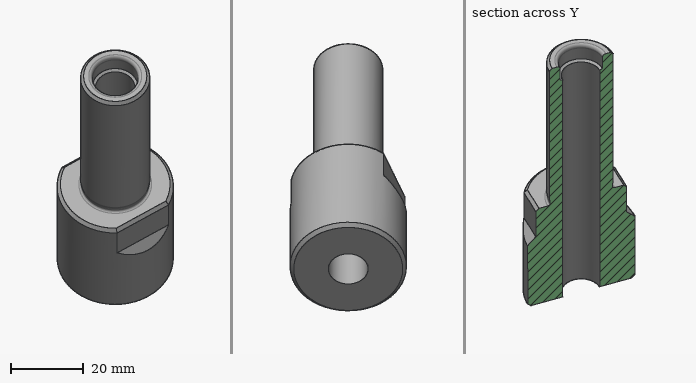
import cadquery as cq
import math

total_length = 85.0
head_length = 35.0

head_diameter = 32.0
flat_spacing = 27.0
flat_bottom_z = 24.9
top_chamfer = 0.9
bottom_chamfer = 1.0

shank_diameter = 19.0
shank_chamfer = 0.85

neck_diameter = 18.6
relief_length = 2.0
relief_taper_length = 0.8
relief_fillet = 0.7

bore_diameter = 10.9
counterbore_diameter = 12.5
counterbore_depth = 5.0
mouth_fillet = 1.0
step_cone_half_angle = math.radians(60)


def make_head():
    """Round head with two wrench flats that run out on 45 degree slopes."""
    head_radius = head_diameter / 2
    flat_x = flat_spacing / 2
    head = cq.Workplane("XY").circle(head_radius).extrude(head_length)
    for side in (-1, 1):
        flat_cut = (
            cq.Workplane("XZ")
            .moveTo(side * flat_x, head_length)
            .lineTo(side * flat_x, flat_bottom_z)
            .lineTo(side * head_diameter, flat_bottom_z - (head_diameter - flat_x))
            .lineTo(side * head_diameter, head_length)
            .close()
            .extrude(head_radius, both=True)
        )
        head = head.cut(flat_cut)
    return head.faces(">Z").chamfer(top_chamfer).faces("<Z").chamfer(bottom_chamfer)


def make_shank():
    """Shank with a chamfered tip and a tapered, filleted relief at its root."""
    shank_radius = shank_diameter / 2
    neck_radius = neck_diameter / 2
    relief_top_z = head_length + relief_length
    fillet_middle = relief_fillet * (1 - math.sqrt(0.5))
    return (
        cq.Workplane("XZ")
        .moveTo(0, 0)
        .lineTo(neck_radius + relief_fillet, 0)
        .lineTo(neck_radius + relief_fillet, head_length)
        .threePointArc(
            (neck_radius + fillet_middle, head_length + fillet_middle),
            (neck_radius, head_length + relief_fillet),
        )
        .lineTo(neck_radius, relief_top_z - relief_taper_length)
        .lineTo(shank_radius, relief_top_z)
        .lineTo(shank_radius, total_length - shank_chamfer)
        .lineTo(shank_radius - shank_chamfer, total_length)
        .lineTo(0, total_length)
        .close()
        .revolve(360, (0, 0, 0), (0, 1, 0))
    )


def make_bore():
    """Through bore with a cone-bottomed counterbore and a rounded mouth."""
    bore_radius = bore_diameter / 2
    counterbore_radius = counterbore_diameter / 2
    counterbore_z = total_length - counterbore_depth
    step_cone_depth = (counterbore_radius - bore_radius) / math.tan(step_cone_half_angle)
    cone_bottom_z = counterbore_z - step_cone_depth
    mouth_z = total_length - mouth_fillet
    fillet_middle = mouth_fillet * (1 - math.sqrt(0.5))
    return (
        cq.Workplane("XZ")
        .moveTo(0, 0)
        .lineTo(bore_radius, 0)
        .lineTo(bore_radius, cone_bottom_z)
        .lineTo(counterbore_radius, counterbore_z)
        .lineTo(counterbore_radius, mouth_z)
        .threePointArc(
            (counterbore_radius + fillet_middle, total_length - fillet_middle),
            (counterbore_radius + mouth_fillet, total_length),
        )
        .lineTo(0, total_length)
        .close()
        .revolve(360, (0, 0, 0), (0, 1, 0))
    )


result = make_head().union(make_shank()).cut(make_bore())